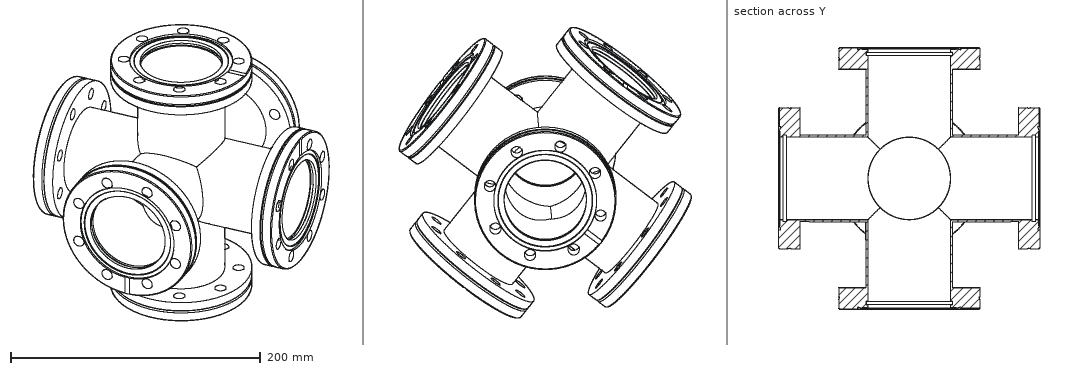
import cadquery as cq
import math


overall_length = 210.0
tube_diameter = 70.0
bore_diameter = 66.0

flange_diameter = 113.5
flange_thickness = 17.5
face_chamfer = 0.8

rim_groove_offset = 7.9
rim_groove_long_slope = 1.5
rim_groove_short_slope = 0.6
rim_groove_depth = 0.5

bolt_count = 8
bolt_circle_diameter = 92.1
bolt_hole_diameter = 9.0

gasket_recess_diameter = 82.6
knife_diameter = 76.2
knife_depth = 0.6
knife_angle = 20.0
seat_diameter = 75.4
seat_depth = 1.2

bore_groove_diameter = 69.0
bore_groove_offset = 3.8
bore_groove_width = 2.6

leak_groove_width = 4.0
leak_groove_depth = 0.7

half_length = overall_length / 2

port_pairs = [
    (cq.Vector(0, -1, 0), cq.Vector(0, 0, -1)),
    (cq.Vector(0, 0, 1), cq.Vector(1, 0, 0)),
    (cq.Vector(-1, 0, 0), cq.Vector(0, 0, 1)),
]


def revolved(points):
    """Revolve a (radius, height) profile about the port axis."""
    return cq.Workplane("XZ").polyline(points).close().revolve(360, (0, 0, 0), (0, 1, 0))


def flange_blank():
    """Chamfered disc with a groove around its rim, face at half_length."""
    blank = (
        cq.Workplane("XY")
        .workplane(offset=half_length - flange_thickness)
        .circle(flange_diameter / 2)
        .extrude(flange_thickness)
        .faces(">Z")
        .chamfer(face_chamfer)
    )
    rim_radius = flange_diameter / 2
    groove_front = half_length - rim_groove_offset
    groove_bottom = groove_front - rim_groove_long_slope
    rim_groove = revolved([
        (rim_radius, groove_front),
        (rim_radius - rim_groove_depth, groove_bottom),
        (rim_radius, groove_bottom - rim_groove_short_slope),
    ])
    return blank.cut(rim_groove)


def bolt_holes():
    """Through holes, half a pitch off the flange axes."""
    return (
        cq.Workplane("XY")
        .workplane(offset=half_length - flange_thickness)
        .polarArray(bolt_circle_diameter / 2, 180 / bolt_count, 360, bolt_count)
        .circle(bolt_hole_diameter / 2)
        .extrude(flange_thickness)
    )


def gasket_recess():
    """Recess whose floor rises inward to the knife edge, then drops to the seat."""
    recess_radius = gasket_recess_diameter / 2
    knife_radius = knife_diameter / 2
    floor_depth = knife_depth + (recess_radius - knife_radius) * math.tan(math.radians(knife_angle))
    return revolved([
        (0, half_length),
        (recess_radius, half_length),
        (recess_radius, half_length - floor_depth),
        (knife_radius, half_length - knife_depth),
        (seat_diameter / 2, half_length - seat_depth),
        (0, half_length - seat_depth),
    ])


def bore_groove():
    """Disc that widens the bore into a groove behind the flange lip."""
    return (
        cq.Workplane("XY")
        .workplane(offset=half_length - bore_groove_offset - bore_groove_width)
        .circle(bore_groove_diameter / 2)
        .extrude(bore_groove_width)
    )


def leak_groove():
    """Round-bottomed groove running along local +X from the recess to the rim."""
    half_width = leak_groove_width / 2
    groove_radius = (half_width**2 + leak_groove_depth**2) / (2 * leak_groove_depth)
    groove_start = (knife_diameter + gasket_recess_diameter) / 4
    return (
        cq.Workplane("YZ")
        .workplane(offset=groove_start)
        .center(0, half_length - leak_groove_depth + groove_radius)
        .circle(groove_radius)
        .extrude(flange_diameter / 2 - groove_start)
    )


def flange():
    return flange_blank().cut(bolt_holes()).cut(gasket_recess()).cut(leak_groove())


def tube(diameter, length):
    """Cylinder through the centre of the cross along local Z."""
    return cq.Workplane("XY").circle(diameter / 2).extrude(length / 2, both=True)


def aligned(shape, outward, groove_direction):
    """Turn a shape so local Z points outward and local X along the leak groove."""
    plane = cq.Plane(origin=(0, 0, 0), xDir=groove_direction, normal=outward)
    return cq.Workplane(obj=shape.val().moved(cq.Location(plane)))


port_flange = flange()
outer_tube = tube(tube_diameter, overall_length - 2 * flange_thickness)
bore = tube(bore_diameter, overall_length)
port_groove = bore_groove()

result = cq.Workplane("XY")
for outward, groove_direction in port_pairs:
    result = result.union(aligned(outer_tube, outward, groove_direction))
    result = result.union(aligned(port_flange, outward, groove_direction))
    result = result.union(aligned(port_flange, -outward, groove_direction))

for outward, groove_direction in port_pairs:
    result = result.cut(aligned(bore, outward, groove_direction))
    result = result.cut(aligned(port_groove, outward, groove_direction))
    result = result.cut(aligned(port_groove, -outward, groove_direction))